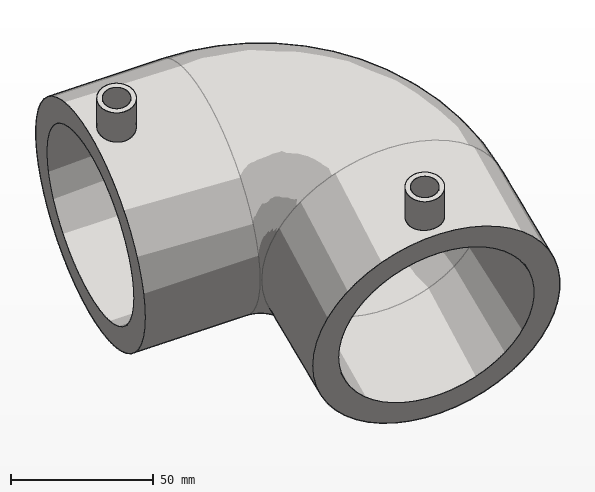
import cadquery as cq

overall_length = 139.5
overall_height = 110.0
pipe_diameter = 95.0
bore_diameter = 75.0
leg_length = 44.1
stub_diameter = 14.0
stub_bore_diameter = 10.0
stub_end_distance = 10.0

pipe_radius = pipe_diameter / 2
bend_radius = overall_length - leg_length - pipe_radius
stub_top = overall_height - pipe_radius
stub_offset = leg_length - stub_end_distance


def elbow(diameter):
    """Solid round bar: a leg along -Y, a quarter bend and a leg along +X."""
    path = (
        cq.Workplane("XY")
        .moveTo(-bend_radius, -leg_length)
        .lineTo(-bend_radius, 0)
        .radiusArc((0, bend_radius), bend_radius)
        .lineTo(leg_length, bend_radius)
    )
    start = cq.Workplane("XZ", origin=(-bend_radius, -leg_length, 0))
    return start.circle(diameter / 2).sweep(path)


def upright_cylinders(diameter):
    """Vertical cylinders from the pipe axis to the stub tops, one on each leg."""
    centres = [(-bend_radius, -stub_offset), (stub_offset, bend_radius)]
    return cq.Workplane("XY").pushPoints(centres).circle(diameter / 2).extrude(stub_top)


outer_elbow = elbow(pipe_diameter)

stubs = upright_cylinders(stub_diameter).cut(upright_cylinders(stub_bore_diameter))

result = outer_elbow.union(stubs).cut(elbow(bore_diameter))